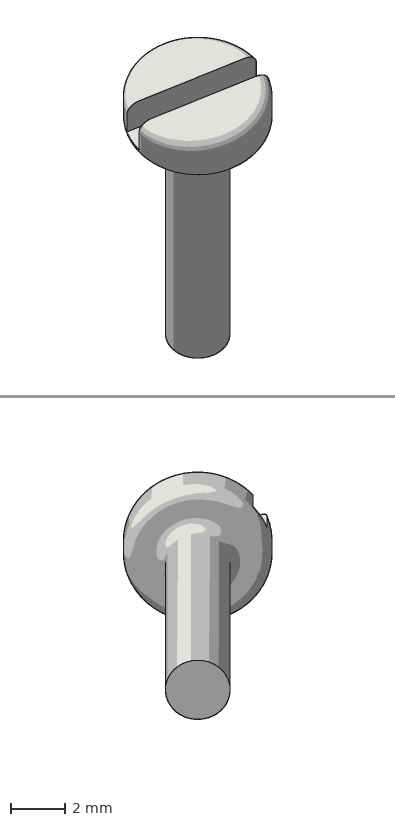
import cadquery as cq

total_length = 14.0
head_diameter = 5.5
head_height = 2.0
shank_diameter = 2.4
edge_radius = 0.5

slot_width = 0.97
slot_depth = 1.5

shank_length = total_length - head_height


def make_head():
    """Disc with both rims rounded, sitting on top of the shank."""
    disc = cq.Workplane("XY").workplane(offset=shank_length).circle(head_diameter / 2).extrude(head_height)
    return disc.edges("%CIRCLE").fillet(edge_radius)


def make_shank():
    """Plain cylinder that flares through a concave fillet into the underside of the head."""
    shank_radius = shank_diameter / 2
    flare_radius = shank_radius + edge_radius
    flare_start = shank_length - edge_radius
    profile = (
        cq.Workplane("XZ")
        .lineTo(shank_radius, 0)
        .lineTo(shank_radius, flare_start)
        .radiusArc((flare_radius, shank_length), edge_radius)
        .lineTo(0, shank_length)
        .close()
    )
    return profile.revolve(360, (0, 0, 0), (0, 1, 0))


def make_slot():
    """Block that cuts the driver slot down from the top of the head."""
    return (
        cq.Workplane("XY")
        .workplane(offset=total_length - slot_depth)
        .rect(slot_width, head_diameter)
        .extrude(slot_depth)
    )


result = make_shank().union(make_head()).cut(make_slot())